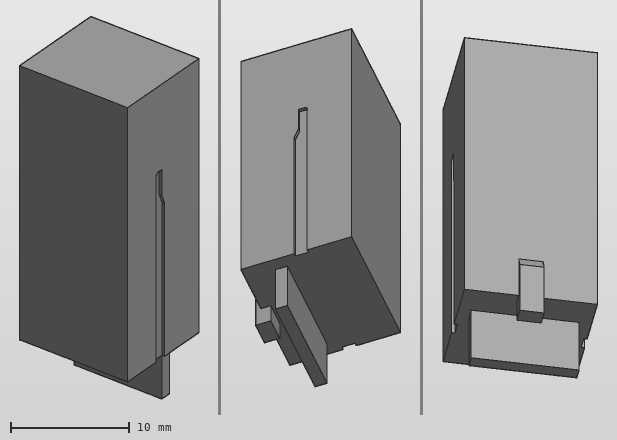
import cadquery as cq

total_height = 32.1
total_depth = 10.5
body_width = 11.4
body_depth = 10.0
blade_length = 5.1
body_height = total_height - blade_length

blade_width = 9.25
blade_thickness = 1.1
blade_back_inset = 2.7

key_width = 2.1
key_thickness = 1.38
key_bottom = 3.15
key_slope_start = 8.05
key_slope_rise = 0.95

groove_depth = 0.3
groove_front = 4.0
groove_width = 1.2
groove_step = 0.4
groove_top = 23.65
groove_slope_start = 20.15
groove_slope_rise = 0.95
groove_corner_radius = 0.25


def make_body():
    return (
        cq.Workplane("XY", origin=(0, 0, blade_length))
        .rect(body_width, body_depth)
        .extrude(body_height)
        .translate((0, body_depth / 2, 0))
    )


def make_blade():
    back = body_depth - blade_back_inset
    return (
        cq.Workplane("XY")
        .rect(blade_width, blade_thickness)
        .extrude(blade_length)
        .translate((0, back - blade_thickness / 2, 0))
    )


def make_key():
    inner = total_depth - key_thickness
    slope_top = key_slope_start + key_slope_rise
    return (
        cq.Workplane("YZ", origin=(-key_width / 2, 0, 0))
        .moveTo(inner, key_bottom)
        .lineTo(total_depth, key_bottom)
        .lineTo(total_depth, key_slope_start)
        .lineTo(body_depth, slope_top)
        .lineTo(inner, slope_top)
        .close()
        .extrude(key_width)
    )


def make_groove(start_x):
    """Groove cutter reaching groove_depth in +X from start_x."""
    back = groove_front + groove_width
    upper_back = back - groove_step
    return (
        cq.Workplane("YZ", origin=(start_x, 0, 0))
        .moveTo(groove_front, blade_length)
        .lineTo(back, blade_length)
        .lineTo(back, groove_slope_start)
        .lineTo(upper_back, groove_slope_start + groove_slope_rise)
        .lineTo(upper_back, groove_top)
        .lineTo(groove_front + groove_corner_radius, groove_top)
        .radiusArc((groove_front, groove_top - groove_corner_radius), -groove_corner_radius)
        .close()
        .extrude(groove_depth)
    )


result = make_body().union(make_blade()).union(make_key())
for groove_start in (-body_width / 2, body_width / 2 - groove_depth):
    result = result.cut(make_groove(groove_start))